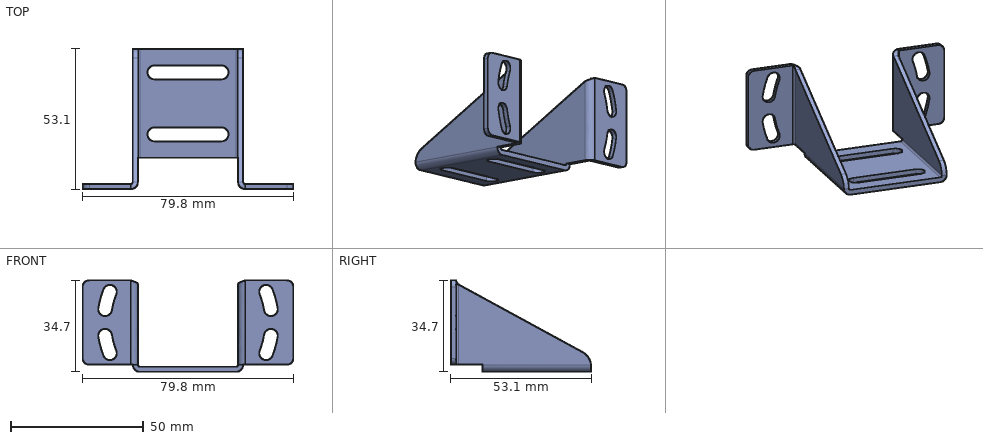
import cadquery as cq
import math

width = 79.85
depth = 53.1
height = 34.7

sheet = 2.0
inner_bend = 0.75
outer_bend = inner_bend + sheet

wall_inside = 18.9
wall_outside = wall_inside + sheet
base_length = 41.2

wall_bottom = outer_bend
rear_arc_depth = 3.3
rear_arc_height = 7.6
top_slope = (height - rear_arc_height) / (depth - rear_arc_depth)
wall_front_height = height - top_slope * outer_bend

flange_start = wall_inside + outer_bend
flange_length = width / 2 - flange_start
flange_height = height - wall_bottom
flange_corner_radius = 2.5

base_slot_length = 30.6
base_slot_width = 5.2
base_slot_rear_margin = 8.9
base_slot_spacing = 23.5

curved_slot_radius = 31.8
curved_slot_width = 5.1
curved_slot_start = 9.1
curved_slot_end = 21.5
curve_centre_height = wall_bottom + flange_height / 2


def make_base():
    """Flat base with a quarter-round bend rising along each side."""
    flat_half = wall_inside - inner_bend
    section = (
        cq.Workplane("XZ", origin=(0, depth, 0))
        .moveTo(-flat_half, 0)
        .lineTo(flat_half, 0)
        .radiusArc((wall_outside, outer_bend), -outer_bend)
        .lineTo(wall_inside, outer_bend)
        .radiusArc((flat_half, sheet), inner_bend)
        .lineTo(-flat_half, sheet)
        .radiusArc((-wall_inside, outer_bend), inner_bend)
        .lineTo(-wall_outside, outer_bend)
        .radiusArc((-flat_half, 0), -outer_bend)
        .close()
    )
    base = section.extrude(base_length)
    rear_slot = depth - base_slot_rear_margin
    slots = (
        cq.Workplane("XY")
        .pushPoints([(0, rear_slot), (0, rear_slot - base_slot_spacing)])
        .slot2D(base_slot_length, base_slot_width)
        .extrude(sheet)
    )
    return base.cut(slots)


def make_wall():
    """Flat right side wall behind its outward bend."""
    return (
        cq.Workplane("YZ", origin=(wall_inside, 0, 0))
        .moveTo(depth, wall_bottom)
        .lineTo(outer_bend, wall_bottom)
        .lineTo(outer_bend, wall_front_height)
        .lineTo(depth - rear_arc_depth, rear_arc_height)
        .tangentArcPoint((depth, wall_bottom), relative=False)
        .close()
        .extrude(sheet)
    )


def make_flange_bend():
    """Quarter-round bend from wall to flange whose top edge climbs along a helix."""
    rise = height - wall_front_height
    section_height = height - wall_bottom
    middle_radius = inner_bend + sheet / 2
    helix = cq.Wire.makeHelix(pitch=4 * rise, height=rise, radius=middle_radius)
    bend = (
        cq.Workplane("XZ")
        .center(middle_radius, -section_height / 2)
        .rect(sheet, section_height)
        .sweep(cq.Workplane(obj=helix), isFrenet=True)
        .rotate((0, 0, 0), (0, 0, 1), 180)
        .translate((flange_start, outer_bend, wall_front_height))
    )
    below_wall = cq.Workplane("XY").box(width, depth, wall_bottom, centered=False)
    return bend.cut(below_wall)


def make_flange():
    """Right flange with rounded outer corners and two curved slots."""
    flange = (
        cq.Workplane("XY")
        .box(flange_length, sheet, flange_height, centered=False)
        .translate((flange_start, 0, wall_bottom))
        .edges("|Y and >X")
        .fillet(flange_corner_radius)
    )
    for side in (1, -1):
        flange = flange.cut(make_curved_slot(side))
    return flange


def make_curved_slot(side):
    """Cutter for the slot above (side = 1) or below (side = -1) the flange middle."""
    def polar(radius, angle):
        radians = math.radians(angle)
        return radius * math.cos(radians), side * radius * math.sin(radians)

    inner = curved_slot_radius - curved_slot_width / 2
    outer = curved_slot_radius + curved_slot_width / 2
    middle = (curved_slot_start + curved_slot_end) / 2
    cap = math.degrees(curved_slot_width / 2 / curved_slot_radius)
    return (
        cq.Workplane("XZ", origin=(0, sheet, curve_centre_height))
        .moveTo(*polar(inner, curved_slot_start))
        .threePointArc(polar(inner, middle), polar(inner, curved_slot_end))
        .threePointArc(polar(curved_slot_radius, curved_slot_end + cap), polar(outer, curved_slot_end))
        .threePointArc(polar(outer, middle), polar(outer, curved_slot_start))
        .threePointArc(polar(curved_slot_radius, curved_slot_start - cap), polar(inner, curved_slot_start))
        .close()
        .extrude(sheet)
    )


right_side = make_wall().union(make_flange_bend()).union(make_flange())
left_side = right_side.mirror("YZ")
result = make_base().union(right_side).union(left_side)